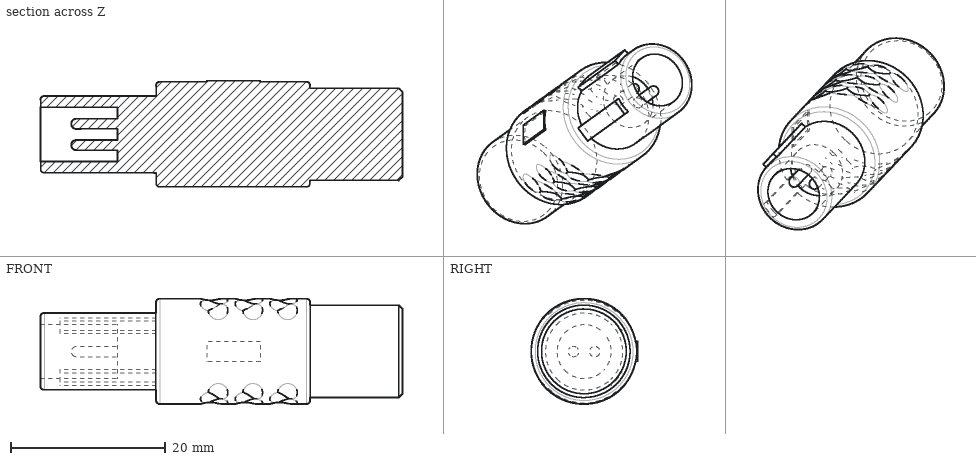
import cadquery as cq

NOSE_LENGTH = 15.0
SLEEVE_LENGTH = 20.0
TAIL_LENGTH = 12.0
TAIL_START = NOSE_LENGTH + SLEEVE_LENGTH

NOSE_DIAMETER = 10.0
SLEEVE_DIAMETER = 13.7
TAIL_DIAMETER = 12.0
SLEEVE_RADIUS = SLEEVE_DIAMETER / 2

EDGE_FILLET = 0.5
TAIL_CHAMFER = 0.5

BORE_DIAMETER = 7.0
BORE_DEPTH = 10.0
PIN_DIAMETER = 1.35
PIN_LENGTH = 6.0
PIN_SPACING = 2.75

KEY_START = 2.5
KEY_WIDTH = 2.1
KEY_TOP = 5.55
KEY_ANGLE = 40.0

PAD_START = 21.6
PAD_LENGTH = 6.9
PAD_WIDTH = 2.6
PAD_HEIGHT = 0.15

SCALLOP_RADIUS = 4.0
SCALLOP_DEPTH = 0.21
SCALLOP_LENGTH = 6.0
SCALLOP_PITCH_ANGLE = 360 / 14
GROUP_COUNT = 3
GROUP_PITCH = 4.5
FIRST_GROUP_X = 22.05
COLUMN_SPACING = 1.0
COLUMN_COUNTS = (3, 4)


def x_cylinder(start, length, diameter):
    return cq.Workplane("YZ", origin=(start, 0, 0)).circle(diameter / 2).extrude(length)


def make_body():
    """Solid nose, sleeve and tail joined along the X axis."""
    nose = x_cylinder(0, NOSE_LENGTH, NOSE_DIAMETER).faces("<X").edges().fillet(EDGE_FILLET)
    sleeve = x_cylinder(NOSE_LENGTH, SLEEVE_LENGTH, SLEEVE_DIAMETER).edges("%CIRCLE").fillet(EDGE_FILLET)
    tail = x_cylinder(TAIL_START, TAIL_LENGTH, TAIL_DIAMETER).faces(">X").edges().chamfer(TAIL_CHAMFER)
    return nose.union(sleeve).union(tail)


def make_key(angle):
    """Flat-topped key whose centre lies at the given angle from +Y towards +Z."""
    bore_radius = BORE_DIAMETER / 2
    length = NOSE_LENGTH - KEY_START
    height = KEY_TOP - bore_radius
    key = cq.Workplane("XY").box(length, height, KEY_WIDTH, centered=(False, False, True))
    key = key.translate((KEY_START, bore_radius, 0))
    return key.rotate((0, 0, 0), (1, 0, 0), angle)


def make_pin(y):
    """Contact pin standing on the bore floor, with a hemispherical tip."""
    shank_start = BORE_DEPTH - PIN_LENGTH + PIN_DIAMETER / 2
    pin = x_cylinder(shank_start, BORE_DEPTH - shank_start, PIN_DIAMETER)
    tip = cq.Workplane("XY").sphere(PIN_DIAMETER / 2).translate((shank_start, 0, 0))
    return pin.union(tip).translate((0, y, 0))


def make_pad():
    """Flat pad standing just proud of the sleeve; the rest of the block is inside the body."""
    pad_top = SLEEVE_RADIUS + PAD_HEIGHT
    pad = cq.Workplane("XY").box(PAD_LENGTH, pad_top, PAD_WIDTH, centered=(False, False, True))
    return pad.translate((PAD_START, 0, 0))


def make_scallop(x, angle):
    """Cutter for one scallop at the given angle from +Z around the X axis."""
    axis_height = SLEEVE_RADIUS - SCALLOP_DEPTH + SCALLOP_RADIUS
    cutter = cq.Workplane("XZ").circle(SCALLOP_RADIUS).extrude(SCALLOP_LENGTH / 2, both=True)
    cutter = cutter.translate((x, 0, axis_height))
    return cutter.rotate((0, 0, 0), (1, 0, 0), angle)


def cut_grip(body):
    """Cut the scallop groups into the +Z and -Z sides of the sleeve."""
    for side_angle in (0, 180):
        for group in range(GROUP_COUNT):
            for column, count in enumerate(COLUMN_COUNTS):
                x = FIRST_GROUP_X + group * GROUP_PITCH + column * COLUMN_SPACING
                for index in range(count):
                    offset = (index - (count - 1) / 2) * SCALLOP_PITCH_ANGLE
                    body = body.cut(make_scallop(x, side_angle + offset))
    return body


body = cut_grip(make_body())
body = body.union(make_pad())
for key_angle in (KEY_ANGLE, -KEY_ANGLE):
    body = body.union(make_key(key_angle))
body = body.cut(x_cylinder(0, BORE_DEPTH, BORE_DIAMETER))
for pin_y in (PIN_SPACING / 2, -PIN_SPACING / 2):
    body = body.union(make_pin(pin_y))
result = body